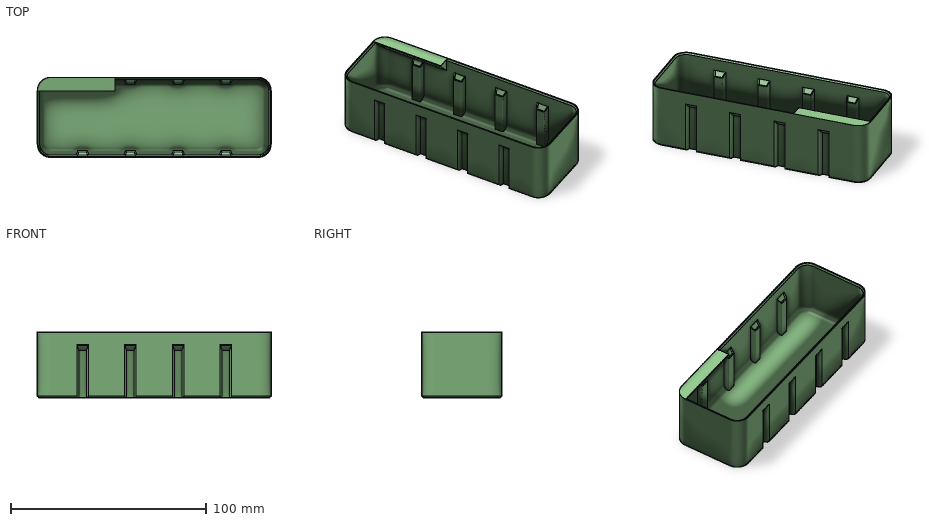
import cadquery as cq
import math

length = 120.0
width = 41.2
height = 33.7
corner_radius = 7.0
wall = 1.2
floor = 1.2
floor_fillet = 4.0
base_chamfer = 1.0
rim_chamfer = 0.7

slot_count = 4
slot_pitch = 24.5
slot_mouth_width = 6.0
slot_bottom_width = 3.8
slot_depth = 2.9
slot_top = height - 6.5
rib_skin = 0.7

shelf_length = 40.0
shelf_depth = 7.1
shelf_lip = 0.6
shelf_drop = 7.2

half_width = width / 2
cavity_length = length - 2 * wall
cavity_width = width - 2 * wall
cavity_radius = corner_radius - wall


def rounded_block(block_length, block_width, block_height, radius):
    """Upright block on z = 0 with rounded vertical edges."""
    block = cq.Workplane("XY").box(block_length, block_width, block_height, centered=(True, True, False))
    return block.edges("|Z").fillet(radius)


def make_outer():
    """Solid block with the outside shape of the box."""
    return rounded_block(length, width, height, corner_radius).faces("<Z").chamfer(base_chamfer)


def make_cavity():
    """Space inside the walls, rounded at the floor and flared at the rim."""
    cavity = rounded_block(cavity_length, cavity_width, height - floor, cavity_radius)
    cavity = cavity.faces("<Z").edges().fillet(floor_fillet).translate((0, 0, floor))
    flare_outline = cq.Sketch().rect(cavity_length, cavity_width).vertices().fillet(cavity_radius)
    flare = (
        cq.Workplane("XY", origin=(0, 0, height - rim_chamfer))
        .placeSketch(flare_outline)
        .extrude(rim_chamfer, taper=-45)
    )
    return cavity.union(flare)


def make_shelf(outer):
    """Solid shelf with a short upright lip and an underside sloping back to the wall."""
    wall_face = half_width - wall
    front = half_width - shelf_depth
    shelf = (
        cq.Workplane("YZ", origin=(-length / 2, 0, 0))
        .polyline(
            [
                (half_width, height),
                (front, height),
                (front, height - shelf_lip),
                (wall_face, height - shelf_drop),
                (half_width, height - shelf_drop),
            ]
        )
        .close()
        .extrude(shelf_length)
    )
    return shelf.intersect(outer)


def tapered_bar(mouth_width, bottom_width, depth, top, bottom_radius=0):
    """Bar reaching in from the front wall at x = 0, its roof falling inward at 45 degrees."""
    mouth_y = -half_width
    bottom_y = mouth_y + depth
    bar = (
        cq.Workplane("XY")
        .polyline(
            [
                (-mouth_width / 2, mouth_y),
                (mouth_width / 2, mouth_y),
                (bottom_width / 2, bottom_y),
                (-bottom_width / 2, bottom_y),
            ]
        )
        .close()
        .extrude(top)
    )
    if bottom_radius > 0:
        bar = bar.edges("|Z and >Y").fillet(bottom_radius)
    side_profile = (
        cq.Workplane("YZ")
        .polyline([(mouth_y, 0), (bottom_y, 0), (bottom_y, top - depth), (mouth_y, top)])
        .close()
        .extrude(mouth_width / 2, both=True)
    )
    return bar.intersect(side_profile)


def make_slot():
    return tapered_bar(slot_mouth_width, slot_bottom_width, slot_depth, slot_top)


def make_rib():
    """The slot shape grown by the skin thickness on its sides and bottom, and raised by it on top."""
    side_slope = (slot_mouth_width - slot_bottom_width) / 2 / slot_depth
    side_growth = rib_skin * math.hypot(1, side_slope)
    mouth_width = slot_mouth_width + 2 * side_growth
    depth = slot_depth + rib_skin
    bottom_width = mouth_width - 2 * side_slope * depth
    return tapered_bar(mouth_width, bottom_width, depth, slot_top + rib_skin, rib_skin)


def repeat_on_long_walls(bar):
    """Copies of a front wall bar at every slot place on the front and back walls."""
    first_x = -(slot_count - 1) / 2 * slot_pitch
    bars = cq.Workplane("XY")
    for index in range(slot_count):
        placed = bar.translate((first_x + index * slot_pitch, 0, 0))
        bars = bars.add(placed).add(placed.mirror("XZ"))
    return bars.combine()


outer = make_outer()
ribs = repeat_on_long_walls(make_rib()).intersect(outer)
slots = repeat_on_long_walls(make_slot())
result = outer.cut(make_cavity()).union(make_shelf(outer)).union(ribs).cut(slots)